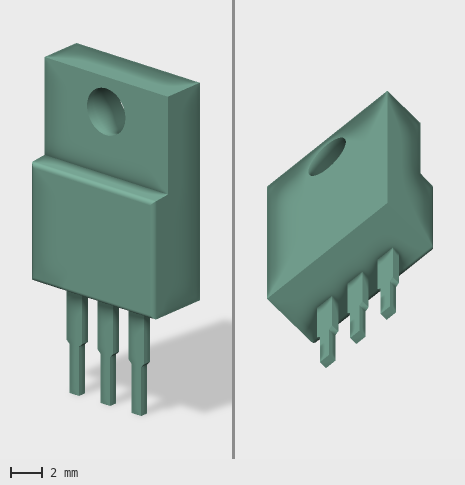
import cadquery as cq
import math

total_height = 22.4
package_width = 10.3
package_depth = 4.5
lead_length = 7.5

tab_thickness = 3.11
body_height = 8.2
shelf_slope = 5.0
front_edge_radius = 0.3

hole_diameter = 3.2
hole_below_top = 2.4

lead_count = 3
lead_pitch = 2.6
shank_width = 1.3
tip_width = 0.8
tip_length = 3.35
lead_thickness = 0.58
lead_from_back = 2.62

body_bottom = lead_length
shelf_top = body_bottom + body_height
back_y = package_depth / 2
front_y = -package_depth / 2
tab_front_y = back_y - tab_thickness


def make_package():
    """Stepped side profile extruded across the width, with a rounded front face."""
    shelf_depth = package_depth - tab_thickness
    shelf_drop = shelf_depth * math.tan(math.radians(shelf_slope))
    profile = [
        (back_y, body_bottom),
        (back_y, total_height),
        (tab_front_y, total_height),
        (tab_front_y, shelf_top),
        (front_y, shelf_top - shelf_drop),
        (front_y, body_bottom),
    ]
    package = cq.Workplane("YZ").polyline(profile).close().extrude(package_width / 2, both=True)
    return package.faces("<Y").edges().fillet(front_edge_radius)


def make_hole():
    """Cylinder along Y that pierces the tab."""
    return (
        cq.Workplane("XZ", origin=(0, back_y, total_height - hole_below_top))
        .circle(hole_diameter / 2)
        .extrude(package_depth)
    )


def make_lead(center_x):
    """Flat stepped lead hanging below the body."""
    shank_half = shank_width / 2
    tip_half = tip_width / 2
    shoulder_top = tip_length + shank_half - tip_half
    outline = [
        (-shank_half, body_bottom),
        (-shank_half, shoulder_top),
        (-tip_half, tip_length),
        (-tip_half, 0),
        (tip_half, 0),
        (tip_half, tip_length),
        (shank_half, shoulder_top),
        (shank_half, body_bottom),
    ]
    return (
        cq.Workplane("XZ", origin=(center_x, back_y - lead_from_back, 0))
        .polyline(outline)
        .close()
        .extrude(lead_thickness)
    )


result = make_package().cut(make_hole())
for index in range(lead_count):
    offset = index - (lead_count - 1) / 2
    result = result.union(make_lead(offset * lead_pitch))